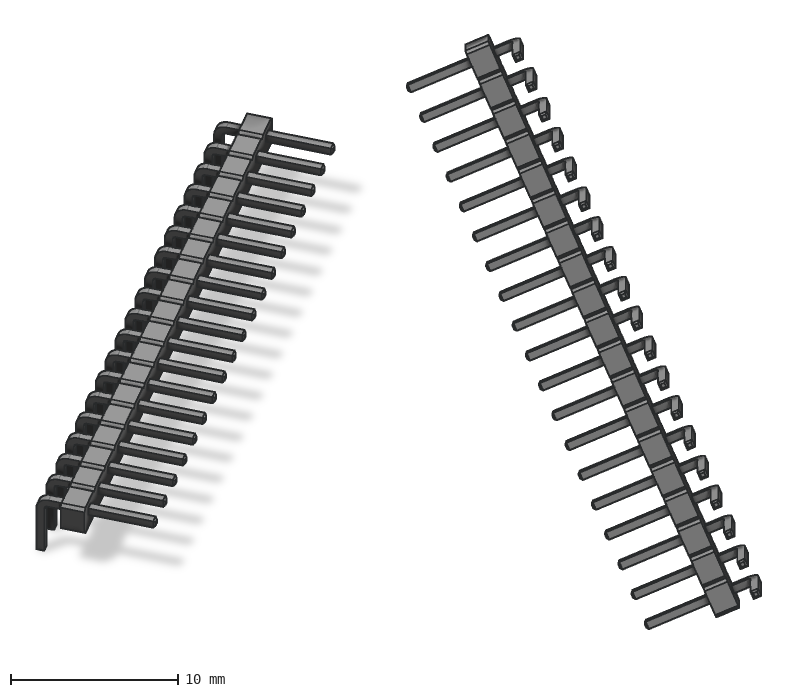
import cadquery as cq

pin_count = 19
pitch = 2.0

body_width = 1.5
body_height = 2.0
body_chamfer = 0.2

pin_size = 0.5
pin_drop = 0.75
pin_tip_chamfer = pin_size / 4
overall_length = 7.45
overall_height = 4.65
leg_to_body = 1.75
bend_outer_radius = 0.75
bend_inner_radius = bend_outer_radius - pin_size

body_top = body_height / 2
pin_back = -body_width / 2 - leg_to_body
pin_front = pin_back + overall_length
pin_top = body_top - pin_drop + pin_size / 2
pin_bottom = body_top - overall_height


def make_body_segment(y):
    """One plastic segment, bevelled along its four X-direction edges."""
    segment = cq.Workplane("XY").box(body_width, pitch, body_height)
    return segment.edges("|X").chamfer(body_chamfer).translate((0, y, 0))


def make_pin(y):
    """One square pin bent through a right angle, with both tips bevelled."""
    inner_x = pin_back + pin_size
    under_z = pin_top - pin_size
    bend_x = pin_back + bend_outer_radius
    bend_z = pin_top - bend_outer_radius
    pin = (
        cq.Workplane("XZ", origin=(0, y, 0))
        .moveTo(pin_back, pin_bottom)
        .lineTo(pin_back, bend_z)
        .radiusArc((bend_x, pin_top), bend_outer_radius)
        .lineTo(pin_front, pin_top)
        .lineTo(pin_front, under_z)
        .lineTo(bend_x, under_z)
        .radiusArc((inner_x, bend_z), -bend_inner_radius)
        .lineTo(inner_x, pin_bottom)
        .close()
        .extrude(pin_size / 2, both=True)
    )
    pin = pin.faces(">X").edges().chamfer(pin_tip_chamfer)
    return pin.faces("<Z").edges().chamfer(pin_tip_chamfer)


pin_positions = [(i - (pin_count - 1) / 2) * pitch for i in range(pin_count)]

result = make_body_segment(pin_positions[0])
for y in pin_positions[1:]:
    result = result.union(make_body_segment(y))
for y in pin_positions:
    result = result.union(make_pin(y))
result = result.clean()